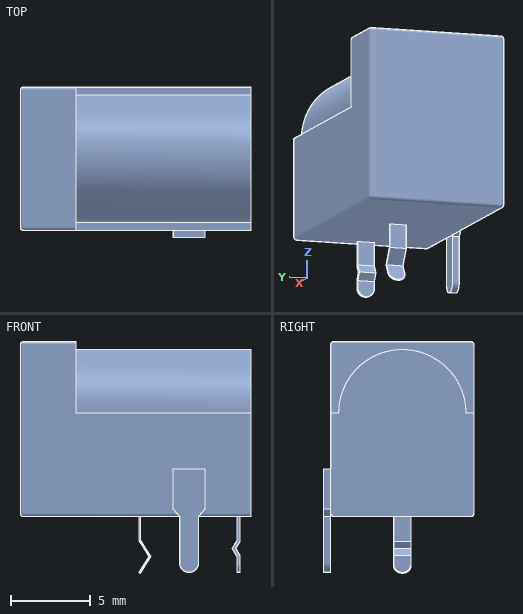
import cadquery as cq
import math

LENGTH = 14.5
WIDTH = 9.0
HEAD_HEIGHT = 11.0
HEAD_LENGTH = 3.5
EDGE_RADIUS = 0.2

BARREL_RADIUS = 4.0
BARREL_AXIS_Z = 6.5

PIN_DEPTH = 3.5

TAB_CENTER_X = 10.6
TAB_THICKNESS = 0.45
TAB_HEAD_WIDTH = 2.0
TAB_SHANK_WIDTH = 1.2
TAB_TOP_Z = 3.0
TAB_TAPER_HEIGHT = 0.5

PIN_WIDTH = 1.1
PIN_BEND_START = 1.5
PIN_BEND_END = 2.5

FRONT_PIN_X = 7.45
FRONT_PIN_THICKNESS = 0.1
FRONT_PIN_KINK = 0.63

REAR_PIN_X = 13.6
REAR_PIN_THICKNESS = 0.2
REAR_PIN_KINK = 0.3


def make_housing():
    """Block with a full-height head and a half-round barrel resting on the lower body."""
    barrel_length = LENGTH - HEAD_LENGTH
    block = cq.Workplane("XY").box(LENGTH, WIDTH, HEAD_HEIGHT, centered=(False, True, False))
    block = block.edges("|X or <X").fillet(EDGE_RADIUS)
    step = (
        cq.Workplane("XY")
        .box(barrel_length, WIDTH, HEAD_HEIGHT - BARREL_AXIS_Z, centered=(False, True, False))
        .translate((HEAD_LENGTH, 0, BARREL_AXIS_Z))
    )
    barrel = (
        cq.Workplane("YZ", origin=(HEAD_LENGTH, 0, BARREL_AXIS_Z))
        .circle(BARREL_RADIUS)
        .extrude(barrel_length)
    )
    return block.cut(step).union(barrel)


def make_side_tab():
    """Wide head tapering at the housing bottom into a narrow, round-ended shank."""
    head_half = TAB_HEAD_WIDTH / 2
    shank_half = TAB_SHANK_WIDTH / 2
    round_start_z = shank_half - PIN_DEPTH
    return (
        cq.Workplane("XZ", origin=(TAB_CENTER_X, -WIDTH / 2, 0))
        .moveTo(-head_half, TAB_TOP_Z)
        .lineTo(-head_half, TAB_TAPER_HEIGHT)
        .lineTo(-shank_half, 0)
        .lineTo(-shank_half, round_start_z)
        .threePointArc((0, -PIN_DEPTH), (shank_half, round_start_z))
        .lineTo(shank_half, 0)
        .lineTo(head_half, TAB_TAPER_HEIGHT)
        .lineTo(head_half, TAB_TOP_Z)
        .close()
        .extrude(TAB_THICKNESS)
    )


def segment_normals(path):
    """Unit (x, z) normals of a downward path, pointing to its +X side."""
    normals = []
    for (x0, z0), (x1, z1) in zip(path, path[1:]):
        length = math.hypot(x1 - x0, z1 - z0)
        normals.append(((z0 - z1) / length, (x1 - x0) / length))
    return normals


def offset_path(path, normals, distance):
    """Shift a path sideways by a constant sheet thickness, with mitred bends."""
    before = normals[:1] + normals
    after = normals + normals[-1:]
    shifted = []
    for (x, z), (ax, az), (bx, bz) in zip(path, before, after):
        miter = distance / (1 + ax * bx + az * bz)
        shifted.append((x + miter * (ax + bx), z + miter * (az + bz)))
    return shifted


def make_bent_pin(path, thickness):
    """Bent strip whose -X face follows the (x, z) path; its free end is a full round."""
    normals = segment_normals(path)
    outline = path + offset_path(path, normals, thickness)[::-1]
    strip = cq.Workplane("XZ").polyline(outline).close().extrude(PIN_WIDTH / 2, both=True)

    tip_x, tip_z = path[-1]
    normal_x, normal_z = normals[-1]
    tip_plane = cq.Plane(origin=(tip_x, 0, tip_z), xDir=(0, 1, 0), normal=(normal_x, 0, normal_z))
    radius = PIN_WIDTH / 2
    corners = (
        cq.Workplane(tip_plane)
        .rect(PIN_WIDTH, 2 * radius)
        .extrude(thickness)
        .cut(cq.Workplane(tip_plane).center(0, radius).circle(radius).extrude(thickness))
    )
    return strip.cut(corners)


def make_front_pin():
    """Thin pin bulging towards +X, with its tip directly below its root."""
    path = [
        (FRONT_PIN_X, 0),
        (FRONT_PIN_X, -PIN_BEND_START),
        (FRONT_PIN_X + FRONT_PIN_KINK, -PIN_BEND_END),
        (FRONT_PIN_X, -PIN_DEPTH),
    ]
    return make_bent_pin(path, FRONT_PIN_THICKNESS)


def make_rear_pin():
    """Thicker pin with a short kink towards -X and a straight end."""
    path = [
        (REAR_PIN_X, 0),
        (REAR_PIN_X, -PIN_BEND_START),
        (REAR_PIN_X - REAR_PIN_KINK, -(PIN_BEND_START + PIN_BEND_END) / 2),
        (REAR_PIN_X, -PIN_BEND_END),
        (REAR_PIN_X, -PIN_DEPTH),
    ]
    return make_bent_pin(path, REAR_PIN_THICKNESS)


result = make_housing().union(make_side_tab()).union(make_front_pin()).union(make_rear_pin())